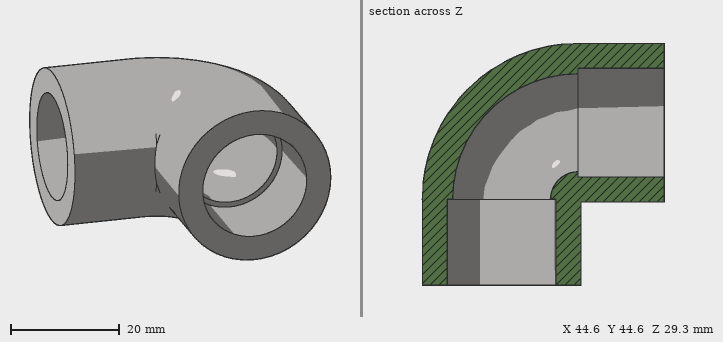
import cadquery as cq

overall_length = 44.65
outer_diameter = 29.3
socket_diameter = 20.0
bore_diameter = 18.05
leg_length = 15.9

outer_radius = outer_diameter / 2
socket_radius = socket_diameter / 2
bore_radius = bore_diameter / 2
bend_reach = overall_length - leg_length
bend_radius = bend_reach - outer_radius

inlet_plane = cq.Plane(origin=(-bend_radius, 0, 0), xDir=(1, 0, 0), normal=(0, -1, 0))
outlet_plane = cq.Plane(origin=(0, bend_radius, 0), xDir=(0, 1, 0), normal=(1, 0, 0))
leg_planes = (inlet_plane, outlet_plane)


def quarter_bend(tube_radius):
    """Quarter torus from the -X side to the +Y side of the bend axis."""
    disc = cq.Sketch().push([(-bend_radius, 0)]).circle(tube_radius).reset()
    inner_side = cq.Sketch().push([(tube_radius, 0)]).rect(2 * tube_radius, 2 * tube_radius).reset()
    profile = cq.Workplane("XZ").placeSketch(disc - inner_side)
    return profile.revolve(90, (0, 0, 0), (0, -1, 0))


def leg_cylinder(plane, radius):
    """Cylinder along one leg, from the end of the bend to the open end."""
    return cq.Workplane(plane).circle(radius).extrude(leg_length)


body = quarter_bend(outer_radius)
for leg_plane in leg_planes:
    body = body.union(leg_cylinder(leg_plane, outer_radius))

body = body.cut(quarter_bend(bore_radius))
for leg_plane in leg_planes:
    body = body.cut(leg_cylinder(leg_plane, socket_radius))

result = body